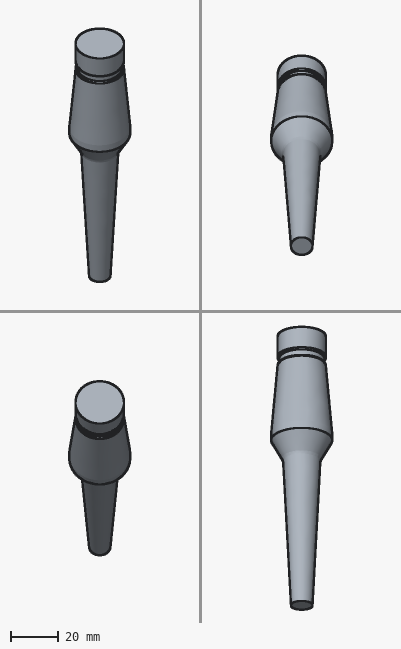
import cadquery as cq

total_height = 125.0
cap_height = 9.5
neck_height = 4.0
body_height = 31.4
band_height = 3.4
shoulder_height = 9.1

cap_diameter = 20.6
neck_diameter = 19.2
band_diameter = 26.0
stem_top_diameter = 16.0
tip_diameter = 9.2

neck_bevel_height = 0.8
stem_fillet_radius = 3.1

cap_bottom = total_height - cap_height
body_top = cap_bottom - neck_height
band_top = body_top - body_height
band_bottom = band_top - band_height
stem_top = band_bottom - shoulder_height

profile = [
    (0, 0),
    (tip_diameter / 2, 0),
    (stem_top_diameter / 2, stem_top),
    (band_diameter / 2, band_bottom),
    (band_diameter / 2, band_top),
    (cap_diameter / 2, body_top),
    (neck_diameter / 2, body_top + neck_bevel_height),
    (neck_diameter / 2, cap_bottom - neck_bevel_height),
    (cap_diameter / 2, cap_bottom),
    (cap_diameter / 2, total_height),
    (0, total_height),
]

turned = cq.Workplane("XZ").polyline(profile).close().revolve(360, (0, 0), (0, 1))

corner_margin = 0.1
corner_box = cq.selectors.BoxSelector(
    (-band_diameter, -band_diameter, stem_top - corner_margin),
    (band_diameter, band_diameter, stem_top + corner_margin),
    boundingbox=True,
)
result = turned.edges(corner_box).fillet(stem_fillet_radius)